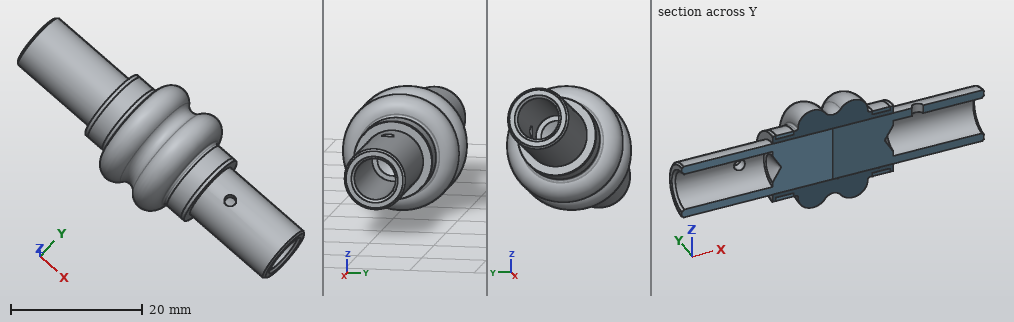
import cadquery as cq
import math

overall_length = 50.8
half_length = overall_length / 2

hub_radius = 4.7
hub_chamfer = 0.3
bore_radius = 3.2
bore_depth = 15.25
bore_chamfer = 0.4
center_drill_radius = 2.4
drill_point_angle = 118.0
screw_hole_radius = 0.9
screw_hole_from_end = 11.2

boot_half_length = 10.15
sleeve_radius = 6.05
lobe_outer_radius = 9.0
lobe_round = 2.55
lobe_offset = 3.35
valley_radius = 7.25
sleeve_fillet = 0.3

ring_width = 2.9
ring_thickness = 0.6
boot_lip_width = 0.6
ring_inner_radius = sleeve_radius - ring_thickness
ring_outer_end = boot_half_length - boot_lip_width
ring_inner_end = ring_outer_end - ring_width

x_axis = ((0, 0, 0), (1, 0, 0))
quarter_turn = 90.0


def revolve_about_x(profile):
    """Revolve a closed profile, drawn as (x, radius), about the X axis."""
    return profile.revolve(360, *x_axis)


def make_hub():
    """Hub on the -X side, with its set screw hole on the +Y side."""
    bore_bottom = -half_length + bore_depth
    drill_point_depth = center_drill_radius / math.tan(math.radians(drill_point_angle / 2))
    hub = revolve_about_x(
        cq.Workplane("XY")
        .moveTo(-half_length, bore_radius + bore_chamfer)
        .lineTo(-half_length, hub_radius - hub_chamfer)
        .lineTo(-half_length + hub_chamfer, hub_radius)
        .lineTo(0, hub_radius)
        .lineTo(0, 0)
        .lineTo(bore_bottom + drill_point_depth, 0)
        .lineTo(bore_bottom, center_drill_radius)
        .lineTo(bore_bottom, bore_radius)
        .lineTo(-half_length + bore_chamfer, bore_radius)
        .close()
    )
    screw_hole = (
        cq.Workplane("ZX", origin=(-half_length + screw_hole_from_end, 0, 0))
        .circle(screw_hole_radius)
        .extrude(2 * hub_radius)
    )
    return hub.cut(screw_hole)


def make_hubs():
    """Both hubs; the +X one is turned a quarter turn, so its screw hole is on the +Z side."""
    left_hub = make_hub()
    right_hub = left_hub.mirror("YZ").rotate(*x_axis, quarter_turn)
    return [left_hub, right_hub]


def point_on_arc(center, radius, degrees):
    """Point at an angle, measured from +X, on a circle in the profile plane."""
    angle = math.radians(degrees)
    return (center[0] + radius * math.cos(angle), center[1] + radius * math.sin(angle))


def make_boot():
    """Boot with round lobes, sleeves grooved for the clamp rings, and a bore that fits the hubs."""
    lobe_center_radius = lobe_outer_radius - lobe_round
    lobe_side = lobe_offset + lobe_round
    fillet_center = (lobe_side + sleeve_fillet, sleeve_radius + sleeve_fillet)
    fillet_middle_angle = 225

    rise = valley_radius - lobe_center_radius
    valley_round = (lobe_offset**2 + rise**2 - lobe_round**2) / (2 * (lobe_round - rise))
    valley_center = (0, valley_radius + valley_round)
    tangent_angle = math.degrees(math.atan2(valley_center[1] - lobe_center_radius, lobe_offset))
    left_lobe = (-lobe_offset, lobe_center_radius)
    right_lobe = (lobe_offset, lobe_center_radius)

    boot = revolve_about_x(
        cq.Workplane("XY")
        .moveTo(-boot_half_length, hub_radius)
        .lineTo(-boot_half_length, sleeve_radius)
        .lineTo(-fillet_center[0], sleeve_radius)
        .threePointArc(
            point_on_arc((-fillet_center[0], fillet_center[1]), sleeve_fillet, 180 - fillet_middle_angle),
            (-lobe_side, fillet_center[1]),
        )
        .lineTo(-lobe_side, lobe_center_radius)
        .threePointArc(
            (-lobe_offset, lobe_outer_radius),
            point_on_arc(left_lobe, lobe_round, tangent_angle),
        )
        .threePointArc(
            (0, valley_radius),
            point_on_arc(right_lobe, lobe_round, 180 - tangent_angle),
        )
        .threePointArc((lobe_offset, lobe_outer_radius), (lobe_side, lobe_center_radius))
        .lineTo(lobe_side, fillet_center[1])
        .threePointArc(
            point_on_arc(fillet_center, sleeve_fillet, fillet_middle_angle),
            (fillet_center[0], sleeve_radius),
        )
        .lineTo(boot_half_length, sleeve_radius)
        .lineTo(boot_half_length, hub_radius)
        .close()
    )
    for ring_groove in make_clamp_rings():
        boot = boot.cut(ring_groove)
    return boot


def make_clamp_ring(start_x):
    """Clamp ring that runs from start_x toward +X."""
    return (
        cq.Workplane("YZ", origin=(start_x, 0, 0))
        .circle(sleeve_radius)
        .circle(ring_inner_radius)
        .extrude(ring_width)
    )


def make_clamp_rings():
    """One clamp ring on each sleeve."""
    return [make_clamp_ring(start_x) for start_x in (-ring_outer_end, ring_inner_end)]


hubs = make_hubs()
boot = make_boot()
clamp_rings = make_clamp_rings()

bodies = [*hubs, boot, *clamp_rings]
result = cq.Compound.makeCompound([body.val() for body in bodies])